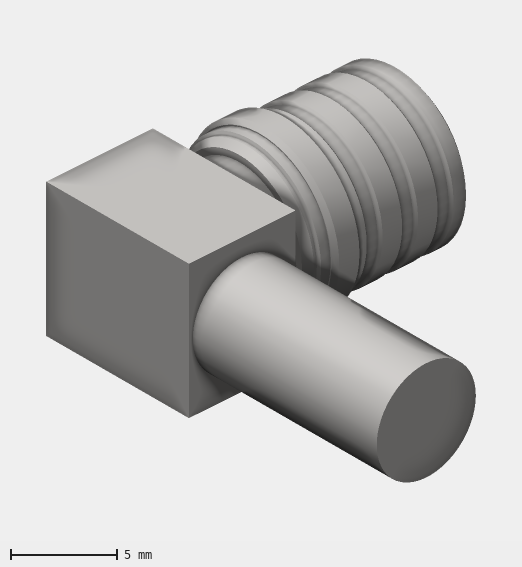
import cadquery as cq


block_left = -4.52
block_length = 9.87
block_depth = 6.87
block_height = 8.62
tube_diameter = 6.38
neck_diameter = 7.87

sleeve_diameter = 9.75
groove_diameter = 9.4
collar_diameter = 10.4
rear_diameter = 9.36

overall_length = 23.3
overall_depth = 18.55

block_back = block_depth / 2
sleeve_front = overall_depth - block_back
sleeve_rear = 4.8
collar_rear = 6.13
collar_width = 1.55
rear_step = 5.43

front_chamfer_length = 0.25
front_chamfer_depth = 0.33
collar_chamfer = 0.25
rear_chamfer_length = 0.45
rear_chamfer_depth = 0.35
step_chamfer_length = 0.1

groove_count = 3
groove_pitch = 2.28
groove_top_width = 1.02
groove_floor_width = 0.7
first_groove_center = 13.53

block_right = block_left + block_length
tube_end = overall_length - collar_diameter / 2


def y_cylinder(diameter, start, end):
    """Cylinder around the Y axis from y = start to y = end."""
    plane = cq.Plane(origin=(0, start, 0), xDir=(1, 0, 0), normal=(0, 1, 0))
    return cq.Workplane(plane).circle(diameter / 2).extrude(end - start)


def make_elbow():
    """Right-angle block with the cable tube on +X and the neck on +Y."""
    block = cq.Workplane("XY").box(block_length, block_depth, block_height)
    block = block.translate((block_left + block_length / 2, 0, 0))
    tube = (
        cq.Workplane("YZ", origin=(block_right, 0, 0))
        .circle(tube_diameter / 2)
        .extrude(tube_end - block_right)
    )
    neck = y_cylinder(neck_diameter, block_back, sleeve_rear)
    return block.union(tube).union(neck)


def make_groove(center):
    """Ring that cuts one groove with sloping walls around the sleeve."""
    top = groove_top_width / 2
    floor = groove_floor_width / 2
    profile = [
        (sleeve_diameter / 2, center - top),
        (groove_diameter / 2, center - floor),
        (groove_diameter / 2, center + floor),
        (sleeve_diameter / 2, center + top),
        (collar_diameter / 2, center + top),
        (collar_diameter / 2, center - top),
    ]
    return cq.Workplane("XY").polyline(profile).close().revolve(360, (0, 0, 0), (0, 1, 0))


def make_sleeve():
    """Grooved coupling sleeve with a collar and a chamfered rear end."""
    barrel = y_cylinder(sleeve_diameter, rear_step, sleeve_front)
    barrel = barrel.faces(">Y").chamfer(front_chamfer_length, front_chamfer_depth)
    barrel = barrel.faces("<Y").chamfer(step_chamfer_length, (sleeve_diameter - rear_diameter) / 2)
    for index in range(groove_count):
        barrel = barrel.cut(make_groove(first_groove_center - index * groove_pitch))

    collar = y_cylinder(collar_diameter, collar_rear, collar_rear + collar_width)
    collar = collar.faces("<Y").chamfer(collar_chamfer)

    rear_end = y_cylinder(rear_diameter, sleeve_rear, rear_step)
    rear_end = rear_end.faces("<Y").chamfer(rear_chamfer_length, rear_chamfer_depth)
    return barrel.union(collar).union(rear_end)


elbow = make_elbow()
sleeve = make_sleeve()

result = cq.Compound.makeCompound([elbow.val(), sleeve.val()])